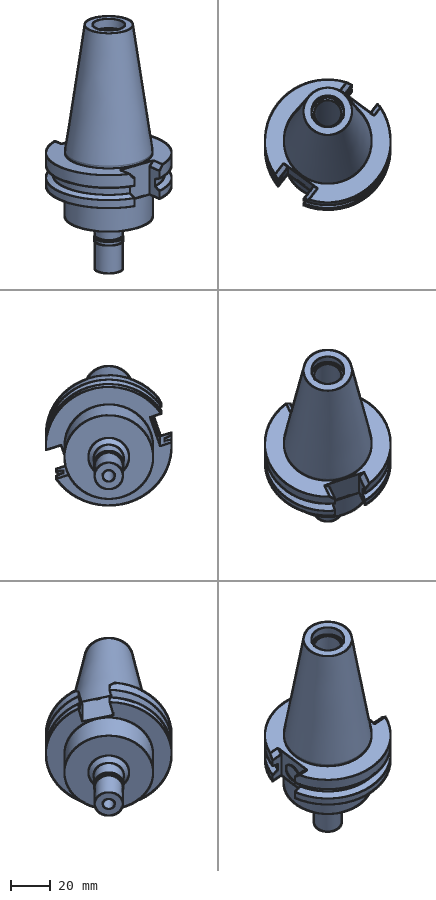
import cadquery as cq

total_height = 131.8
taper_base_z = 63.8
flange_top_z = 62.6
groove_upper_edge_z = 55.9
groove_upper_floor_z = 54.3
groove_lower_floor_z = 50.6
groove_lower_edge_z = 49.1
flange_bottom_z = 44.8
hub_bottom_z = 28.5
cone_bottom_z = 25.7
nose_end_z = 17.9
nut_top_z = 17.1
collar_bottom_z = 15.2

taper_base_radius = 22.1
radius_per_height = 7 / 48
taper_top_radius = taper_base_radius - (total_height - taper_base_z) * radius_per_height

flange_radius = 31.8
groove_radius = 28.2
hub_radius = 22.4
cone_top_radius = 10.3
nose_top_radius = 7.6
nose_end_radius = 7.1
neck_radius = 6.5
collar_radius = 7.4
nut_radius = 7.1

socket_radius = 8.2
socket_depth = 5.0
drawbar_bore_radius = 6.9
drawbar_bore_bottom_z = 34.3
nose_bore_radius = 4.1
nut_bore_radius = 3.0

left_slot_floor = 24.6
right_slot_floor = 22.7
slot_width = 16.2
slot_chamfer = 2.6

recess_diameter = 9.6
recess_z = 52.3
recess_depth = 0.3


def turned(profile):
    """Revolve a closed (radius, height) outline about the Z axis."""
    return cq.Workplane("XZ").polyline(profile).close().revolve(360, (0, 0, 0), (0, 1, 0))


def drive_slot(side, floor_distance):
    """Cutter for a slot through the flange, with its upper edges chamfered."""
    half_width = slot_width / 2
    outline = [
        (-half_width, flange_bottom_z),
        (half_width, flange_bottom_z),
        (half_width, flange_top_z - slot_chamfer),
        (half_width + slot_chamfer, flange_top_z),
        (-half_width - slot_chamfer, flange_top_z),
        (-half_width, flange_top_z - slot_chamfer),
    ]
    return (
        cq.Workplane("YZ", origin=(side * floor_distance, 0, 0))
        .polyline(outline)
        .close()
        .extrude(side * flange_radius)
    )


def make_holder():
    """Taper shank, grooved flange, hub and tapered nose with a stepped bore."""
    holder = turned([
        (nose_bore_radius, nut_top_z),
        (neck_radius, nut_top_z),
        (neck_radius, nose_end_z),
        (nose_end_radius, nose_end_z),
        (nose_top_radius, cone_bottom_z),
        (cone_top_radius, hub_bottom_z),
        (hub_radius, hub_bottom_z),
        (hub_radius, flange_bottom_z),
        (flange_radius, flange_bottom_z),
        (flange_radius, groove_lower_edge_z),
        (groove_radius, groove_lower_floor_z),
        (groove_radius, groove_upper_floor_z),
        (flange_radius, groove_upper_edge_z),
        (flange_radius, flange_top_z),
        (taper_base_radius, flange_top_z),
        (taper_base_radius, taper_base_z),
        (taper_top_radius, total_height),
        (socket_radius, total_height),
        (socket_radius, total_height - socket_depth),
        (drawbar_bore_radius, total_height - socket_depth),
        (drawbar_bore_radius, drawbar_bore_bottom_z),
        (nose_bore_radius, drawbar_bore_bottom_z),
    ])
    for side, floor_distance in ((-1, left_slot_floor), (1, right_slot_floor)):
        holder = holder.cut(drive_slot(side, floor_distance))
    recess = (
        cq.Workplane("YZ", origin=(-left_slot_floor, 0, recess_z))
        .circle(recess_diameter / 2)
        .extrude(recess_depth)
    )
    return holder.cut(recess)


def make_nut():
    """Slim clamping nut with a collar at its upper end and a through bore."""
    return turned([
        (nut_bore_radius, 0),
        (nut_radius, 0),
        (nut_radius, collar_bottom_z),
        (collar_radius, collar_bottom_z),
        (collar_radius, nut_top_z),
        (nut_bore_radius, nut_top_z),
    ])


holder = make_holder()
nut = make_nut()
result = cq.Compound.makeCompound([holder.val(), nut.val()])